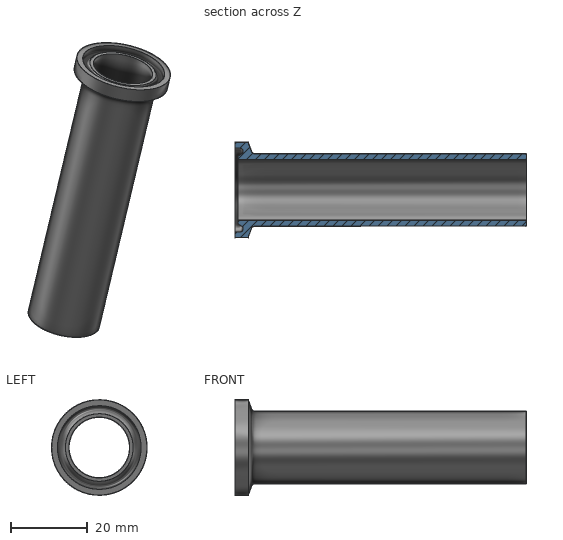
import cadquery as cq
import math

length = 76.2
flange_diameter = 25.0
tube_diameter = 19.05
bore_diameter = 15.8

rim_width = 3.5
back_taper_angle = 20.0
neck_fillet = 0.8

groove_diameter = 21.9
lip_diameter = 17.7
lip_setback = 0.8
lip_slope_angle = 55.0
groove_floor_radius = 0.8

end_chamfer = 0.2

flange_radius = flange_diameter / 2
tube_radius = tube_diameter / 2
bore_radius = bore_diameter / 2
taper_length = (flange_radius - tube_radius) * math.tan(math.radians(back_taper_angle))
neck_x = rim_width + taper_length


def ferrule_body():
    """Tube with a clamp flange, revolved about the X axis."""
    profile = (
        cq.Workplane("XY")
        .moveTo(0, bore_radius)
        .lineTo(0, flange_radius)
        .lineTo(rim_width, flange_radius)
        .lineTo(neck_x, tube_radius)
        .lineTo(length - end_chamfer, tube_radius)
        .lineTo(length, tube_radius - end_chamfer)
        .lineTo(length, bore_radius)
        .close()
    )
    body = profile.revolve(360, (0, 0, 0), (1, 0, 0))
    margin = 0.1
    neck = cq.selectors.BoxSelector(
        (neck_x - margin, -flange_radius, -flange_radius),
        (neck_x + margin, flange_radius, flange_radius),
        boundingbox=True,
    )
    return body.edges(neck).fillet(neck_fillet)


def face_recess():
    """Ring cut from the flange face: round-bottomed groove outside a set-back lip."""
    slope = math.radians(lip_slope_angle)
    wall_radius = groove_diameter / 2
    lip_radius = lip_diameter / 2
    floor_center_radius = wall_radius - groove_floor_radius
    foot_radius = floor_center_radius - groove_floor_radius * math.sin(slope)
    foot_x = lip_setback + (foot_radius - lip_radius) * math.tan(slope)
    floor_center_x = foot_x - groove_floor_radius * math.cos(slope)
    floor_x = floor_center_x + groove_floor_radius
    profile = (
        cq.Workplane("XY")
        .moveTo(0, bore_radius)
        .lineTo(0, wall_radius)
        .lineTo(floor_center_x, wall_radius)
        .threePointArc((floor_x, floor_center_radius), (foot_x, foot_radius))
        .lineTo(lip_setback, lip_radius)
        .lineTo(lip_setback, bore_radius)
        .close()
    )
    return profile.revolve(360, (0, 0, 0), (1, 0, 0))


result = ferrule_body().cut(face_recess())